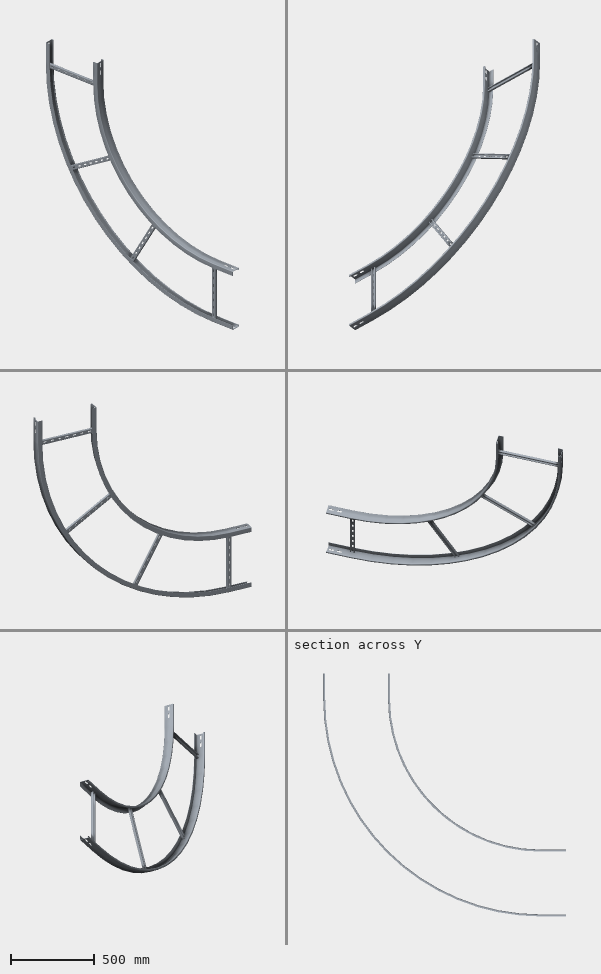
import cadquery as cq
import math

outer_radius = 1300
tray_width = 400
inner_radius = outer_radius - tray_width
leg_length = 150

sheet = 2

rail_depth = 60
rail_bend_radius = 4
front_flange = 31
back_flange = 13
back_lip = 9

joint_slot_length = 30
joint_slot_width = 11
joint_slot_distances = (25, 75)

rung_count = 4
rung_spacing = 90 / (rung_count - 1)
rung_width = 30
rung_depth = 15
rung_bend_radius = 2.5
rung_lip = 6
rung_slot_count = 7
rung_slot_pitch = 50
rung_slot_length = 20
rung_slot_width = 8


def line_and_arc(outline, centre, start_side, end_side, radius):
    """Extend an outline by a line and a quarter arc.

    The sides are unit vectors from the arc's centre towards its two ends.
    """
    start = centre + start_side * radius
    middle = centre + (start_side + end_side).normalized() * radius
    end = centre + end_side * radius
    return outline.lineTo(start.x, start.y).threePointArc((middle.x, middle.y), (end.x, end.y))


def folded_section(plane, bend_radius, corners):
    """Closed outline of a sheet folded at right angles, always to the same side.

    The corners trace the outer surface as if it were sharp; every fold is rounded
    to bend_radius on the outside.
    """
    points = [cq.Vector(*corner) for corner in corners]
    directions = [(end - start).normalized() for start, end in zip(points, points[1:])]
    folds = [
        (corner + (after - before) * bend_radius, before, after)
        for corner, before, after in zip(points[1:-1], directions, directions[1:])
    ]
    inner_start = points[0] + directions[1] * sheet
    outer_end = points[-1]
    inner_end = outer_end - directions[-2] * sheet

    outline = plane.moveTo(points[0].x, points[0].y)
    for centre, before, after in folds:
        outline = line_and_arc(outline, centre, -after, before, bend_radius)
    outline = outline.lineTo(outer_end.x, outer_end.y).lineTo(inner_end.x, inner_end.y)
    for centre, before, after in reversed(folds):
        outline = line_and_arc(outline, centre, before, -after, bend_radius - sheet)
    return outline.lineTo(inner_start.x, inner_start.y).close()


def joint_slots(web_radius):
    """Cutters for the slots in both legs of a rail, passing through the web."""
    cutters = []
    for distance in joint_slot_distances:
        along_leg = leg_length - distance
        upright = cq.Workplane("YZ", origin=(-web_radius, rail_depth / 2, along_leg))
        level = cq.Workplane("XY", origin=(along_leg, rail_depth / 2, -web_radius))
        cutters.append(upright.slot2D(joint_slot_length, joint_slot_width, 90).extrude(2 * sheet, both=True))
        cutters.append(level.slot2D(joint_slot_length, joint_slot_width).extrude(2 * sheet, both=True))
    return cutters


def rail(web_radius, inward):
    """Rail with the outer face of its web on web_radius.

    Inward is +1 or -1, the X direction in which the flanges of the upright leg point.
    """
    arc_middle = -web_radius * math.sqrt(0.5)
    path = (
        cq.Workplane("XZ")
        .moveTo(-web_radius, leg_length)
        .lineTo(-web_radius, 0)
        .threePointArc((arc_middle, arc_middle), (0, -web_radius))
        .lineTo(leg_length, -web_radius)
    )
    leg_end = cq.Workplane("XY", origin=(-web_radius, 0, leg_length))
    section = folded_section(
        leg_end,
        rail_bend_radius,
        [
            (inward * front_flange, 0),
            (0, 0),
            (0, rail_depth),
            (inward * back_flange, rail_depth),
            (inward * back_flange, rail_depth - back_lip),
        ],
    )
    body = section.sweep(path)
    for cutter in joint_slots(web_radius):
        body = body.cut(cutter)
    return body


def rung(angle):
    """Rung turned by angle degrees from level, reaching halfway into both webs before it is fitted."""
    length = tray_width - sheet
    middle = -(inner_radius + outer_radius) / 2
    half_width = rung_width / 2
    end_plane = cq.Workplane("YZ", origin=(middle - length / 2, sheet, 0))
    body = folded_section(
        end_plane,
        rung_bend_radius,
        [
            (rung_depth, half_width - rung_lip),
            (rung_depth, half_width),
            (0, half_width),
            (0, -half_width),
            (rung_depth, -half_width),
            (rung_depth, rung_lip - half_width),
        ],
    ).extrude(length)
    slots = (
        cq.Workplane("XZ", origin=(middle, sheet, 0))
        .rarray(rung_slot_pitch, 1, rung_slot_count, 1)
        .rect(rung_slot_length, rung_slot_width)
        .extrude(sheet, both=True)
    )
    return body.cut(slots).rotate((0, 0, 0), (0, 1, 0), -angle)


outer_rail = rail(outer_radius, 1)
inner_rail = rail(inner_radius, -1)

rungs = [rung(i * rung_spacing).cut(outer_rail).cut(inner_rail) for i in range(rung_count)]

result = cq.Compound.makeCompound(
    [outer_rail.val(), inner_rail.val(), *[solid for fitted in rungs for solid in fitted.solids().vals()]]
)